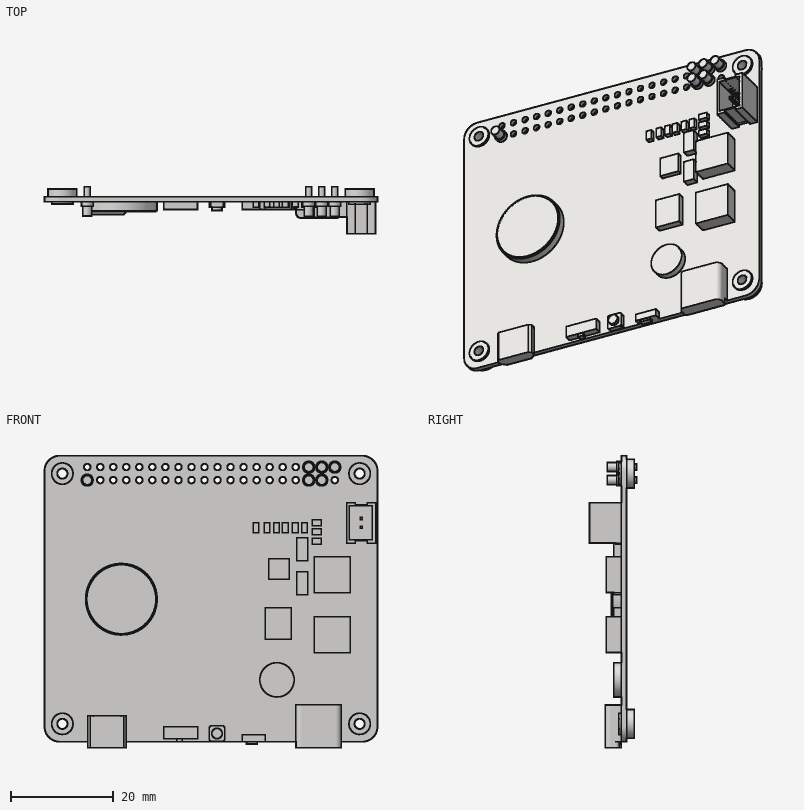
import cadquery as cq


BOARD_WIDTH = 65.0
BOARD_HEIGHT = 55.85
BOARD_THICKNESS = 1.05
BOARD_CORNER_RADIUS = 3.0

MOUNT_INSET = 3.5
MOUNT_HOLE_DIAMETER = 1.95
MOUNT_RING_DIAMETER = 4.15
MOUNT_RING_HEIGHT = 0.45
STANDOFF_DIAMETER = 5.65
STANDOFF_HEIGHT = 1.5

HEADER_COLUMNS = 20
HEADER_SPAN = 48.3
HEADER_PITCH = HEADER_SPAN / (HEADER_COLUMNS - 1)
HEADER_HOLE_DIAMETER = 1.25
FITTED_PINS = [(0, 0), (17, 0), (18, 0), (17, 1), (18, 1), (19, 1)]
PIN_COLLAR_DIAMETER = 2.3
PIN_COLLAR_HEIGHT = 0.85
PIN_DIAMETER = 1.8
PIN_HEIGHT = 2.8
PIN_TAIL_LENGTH = 1.95

COIN_CELL_CENTRE = (15.0, 27.8)
COIN_CELL_DIAMETER = 14.0
COIN_CELL_HEIGHT = 1.95
COIN_CELL_STEP = 0.25
BUZZER_CENTRE = (45.4, 12.1)
BUZZER_DIAMETER = 6.7
BUZZER_HEIGHT = 1.5

LOW_HEIGHT = 1.05
MEDIUM_HEIGHT = 1.5
INDUCTOR_SIDE = 7.0
INDUCTOR_HEIGHT = 3.0
INDUCTOR_CENTRES = [(56.15, 32.6), (56.15, 20.9)]
SMALL_CHIP_SIDE = 4.0
SMALL_CHIP_CENTRE = (45.75, 33.75)
LARGE_CHIP_SIZE = (5.15, 6.2)
LARGE_CHIP_CENTRE = (45.6, 23.1)
DIODE_SIZE = (2.15, 4.5)
DIODE_CENTRES = [(50.3, 37.6), (50.3, 30.95)]
UPRIGHT_RESISTOR_SIZE = (1.1, 1.95)
UPRIGHT_RESISTOR_Z = 41.8
UPRIGHT_RESISTOR_XS = [41.3, 43.4, 45.3, 47.0, 48.95, 50.75]
FLAT_RESISTOR_SIZE = (1.75, 1.2)
FLAT_RESISTOR_X = 53.1
FLAT_RESISTOR_ZS = [42.8, 40.95, 39.1]

SLIDE_CENTRE = (26.6, 1.75)
SLIDE_SIZE = (6.6, 2.35)
LEVER_X = 26.3
LEVER_WIDTH = 1.05
BUTTON_CENTRE = (33.7, 1.6)
BUTTON_SIDE = 3.0
BUTTON_CHAMFER = 0.25
BUTTON_CAP_DIAMETER = 2.0
BUTTON_CAP_HEIGHT = 1.7
SIDE_BUTTON_X = 40.8
SIDE_BUTTON_SIZE = (4.5, 1.4)
SIDE_PLUNGER_X = 40.5
SIDE_PLUNGER_WIDTH = 2.15
SIDE_PLUNGER_REACH = 0.45
ACTUATOR_HEIGHTS = (0.25, 1.35)

USB_OVERHANG = 1.2
MICRO_X = 12.2
MICRO_WIDTH = 7.55
MICRO_LENGTH = 6.25
MICRO_HEIGHT = 2.5
MICRO_UNDERCUT = 1.05
MICRO_CHAMFER = 0.5
TYPE_C_X = 53.5
TYPE_C_WIDTH = 8.9
TYPE_C_LENGTH = 8.4
TYPE_C_HEIGHT = 3.2
TYPE_C_RADIUS = 1.1
TYPE_C_REAR_GAP = 0.4
TYPE_C_REAR_RADIUS = 0.65

SHROUD_CENTRE = (61.8, 42.7)
SHROUD_WIDTH = 5.6
SHROUD_LENGTH = 7.9
SHROUD_HEIGHT = 6.25
SHROUD_LEFT_WALL = 0.45
SHROUD_RIGHT_WALL = 0.65
SHROUD_END_WALL = 0.65
SHROUD_FLOOR = 0.45
NOTCH_WIDTH = 2.4
NOTCH_DEPTH = 0.45
CONTACT_SIDE = 0.45
CONTACT_PITCH = 1.7
CONTACT_HEIGHT = 6.1


def at(height, centre=(0, 0)):
    """Sketch plane at a height above the populated face, drawing in X and Z."""
    return cq.Workplane("XZ", origin=(0, -height, 0)).center(*centre)


def block(centre, size, height, base=0):
    return at(base, centre).rect(*size).extrude(height - base)


def disc(centre, diameter, height, base=0):
    return at(base, centre).circle(diameter / 2).extrude(height - base)


def header_point(column, row):
    x = BOARD_WIDTH / 2 - HEADER_SPAN / 2 + column * HEADER_PITCH
    z = BOARD_HEIGHT - MOUNT_INSET + (row - 0.5) * HEADER_PITCH
    return (x, z)


def mount_points():
    return [
        (x, z)
        for x in (MOUNT_INSET, BOARD_WIDTH - MOUNT_INSET)
        for z in (MOUNT_INSET, BOARD_HEIGHT - MOUNT_INSET)
    ]


def make_board():
    board = block(
        (BOARD_WIDTH / 2, BOARD_HEIGHT / 2), (BOARD_WIDTH, BOARD_HEIGHT), 0, base=-BOARD_THICKNESS
    )
    board = board.edges("|Y").fillet(BOARD_CORNER_RADIUS)
    holes = [header_point(column, row) for column in range(HEADER_COLUMNS) for row in (0, 1)]
    return board.cut(
        at(-BOARD_THICKNESS).pushPoints(holes).circle(HEADER_HOLE_DIAMETER / 2).extrude(BOARD_THICKNESS)
    )


def make_mount(point):
    back = -BOARD_THICKNESS - STANDOFF_HEIGHT
    ring = disc(point, MOUNT_RING_DIAMETER, MOUNT_RING_HEIGHT)
    return ring.union(disc(point, STANDOFF_DIAMETER, -BOARD_THICKNESS, base=back))


def make_mount_holes():
    back = -BOARD_THICKNESS - STANDOFF_HEIGHT
    length = MOUNT_RING_HEIGHT - back
    return at(back).pushPoints(mount_points()).circle(MOUNT_HOLE_DIAMETER / 2).extrude(length)


def make_pin(point):
    tail = disc(point, HEADER_HOLE_DIAMETER, 0, base=-BOARD_THICKNESS - PIN_TAIL_LENGTH)
    collar = disc(point, PIN_COLLAR_DIAMETER, PIN_COLLAR_HEIGHT)
    return tail.union(collar).union(disc(point, PIN_DIAMETER, PIN_HEIGHT))


def make_coin_cell():
    case = disc(COIN_CELL_CENTRE, COIN_CELL_DIAMETER, COIN_CELL_HEIGHT - COIN_CELL_STEP)
    return case.union(disc(COIN_CELL_CENTRE, COIN_CELL_DIAMETER - 2 * COIN_CELL_STEP, COIN_CELL_HEIGHT))


def make_packages():
    packages = [
        block(SMALL_CHIP_CENTRE, (SMALL_CHIP_SIDE, SMALL_CHIP_SIDE), LOW_HEIGHT),
        block(LARGE_CHIP_CENTRE, LARGE_CHIP_SIZE, MEDIUM_HEIGHT),
    ]
    for centre in INDUCTOR_CENTRES:
        packages.append(block(centre, (INDUCTOR_SIDE, INDUCTOR_SIDE), INDUCTOR_HEIGHT))
    for centre in DIODE_CENTRES:
        packages.append(block(centre, DIODE_SIZE, MEDIUM_HEIGHT))
    for x in UPRIGHT_RESISTOR_XS:
        packages.append(block((x, UPRIGHT_RESISTOR_Z), UPRIGHT_RESISTOR_SIZE, LOW_HEIGHT))
    for z in FLAT_RESISTOR_ZS:
        packages.append(block((FLAT_RESISTOR_X, z), FLAT_RESISTOR_SIZE, LOW_HEIGHT))
    return packages


def make_actuator(x, width, bottom, top):
    """Bar standing off the face, joining a switch body at its top end."""
    low, high = ACTUATOR_HEIGHTS
    return block((x, (bottom + top) / 2), (width, top - bottom), high, base=low)


def make_slide_switch():
    lever = make_actuator(LEVER_X, LEVER_WIDTH, 0, SLIDE_CENTRE[1])
    return block(SLIDE_CENTRE, SLIDE_SIZE, MEDIUM_HEIGHT).union(lever)


def make_push_button():
    body = block(BUTTON_CENTRE, (BUTTON_SIDE, BUTTON_SIDE), LOW_HEIGHT)
    body = body.edges("|Y").chamfer(BUTTON_CHAMFER)
    return body.union(disc(BUTTON_CENTRE, BUTTON_CAP_DIAMETER, BUTTON_CAP_HEIGHT))


def make_side_button():
    middle = SIDE_BUTTON_SIZE[1] / 2
    body = block((SIDE_BUTTON_X, middle), SIDE_BUTTON_SIZE, MEDIUM_HEIGHT)
    return body.union(make_actuator(SIDE_PLUNGER_X, SIDE_PLUNGER_WIDTH, -SIDE_PLUNGER_REACH, middle))


def make_micro_usb():
    """Shell undercut next to the board and chamfered along its front corners."""
    half = MICRO_WIDTH / 2
    right_side = [
        (half - MICRO_UNDERCUT, 0),
        (half, -MICRO_UNDERCUT),
        (half, MICRO_CHAMFER - MICRO_HEIGHT),
        (half - MICRO_CHAMFER, -MICRO_HEIGHT),
    ]
    left_side = [(-x, y) for x, y in reversed(right_side)]
    profile = cq.Workplane("XY", origin=(MICRO_X, 0, -USB_OVERHANG)).polyline(right_side + left_side)
    return profile.close().extrude(MICRO_LENGTH)


def make_type_c_usb():
    """Housing on the board, continued past the board edge by a mouth rounded all round."""
    length = TYPE_C_LENGTH - USB_OVERHANG
    housing = block((TYPE_C_X, length / 2), (TYPE_C_WIDTH, length), TYPE_C_HEIGHT)
    housing = housing.edges("|Z and <Y").fillet(TYPE_C_RADIUS)
    mouth = block(
        (TYPE_C_X, -USB_OVERHANG / 2), (TYPE_C_WIDTH, USB_OVERHANG), TYPE_C_HEIGHT, base=TYPE_C_REAR_GAP
    )
    mouth = mouth.edges("|Z and <Y").fillet(TYPE_C_RADIUS)
    return housing.union(mouth.edges("|Z and >Y").fillet(TYPE_C_REAR_RADIUS))


def make_shrouded_connector():
    x, z = SHROUD_CENTRE
    shroud = block(SHROUD_CENTRE, (SHROUD_WIDTH, SHROUD_LENGTH), SHROUD_HEIGHT)
    cavity_x = x + (SHROUD_LEFT_WALL - SHROUD_RIGHT_WALL) / 2
    cavity_width = SHROUD_WIDTH - SHROUD_LEFT_WALL - SHROUD_RIGHT_WALL
    cavity_length = SHROUD_LENGTH - 2 * SHROUD_END_WALL
    cavity = block((cavity_x, z), (cavity_width, cavity_length), SHROUD_HEIGHT, base=SHROUD_FLOOR)
    shroud = shroud.cut(cavity)
    for side in (-1, 1):
        notch_z = z + side * (SHROUD_LENGTH - NOTCH_DEPTH) / 2
        shroud = shroud.cut(block((x, notch_z), (NOTCH_WIDTH, NOTCH_DEPTH), SHROUD_HEIGHT))
        contact_z = z + side * CONTACT_PITCH / 2
        shroud = shroud.union(block((x, contact_z), (CONTACT_SIDE, CONTACT_SIDE), CONTACT_HEIGHT))
    return shroud


parts = [make_mount(point) for point in mount_points()]
parts += [make_pin(header_point(column, row)) for column, row in FITTED_PINS]
parts += make_packages()
parts += [
    make_coin_cell(),
    disc(BUZZER_CENTRE, BUZZER_DIAMETER, BUZZER_HEIGHT),
    make_slide_switch(),
    make_push_button(),
    make_side_button(),
    make_micro_usb(),
    make_type_c_usb(),
    make_shrouded_connector(),
]

result = make_board()
for part in parts:
    result = result.union(part)
result = result.cut(make_mount_holes())